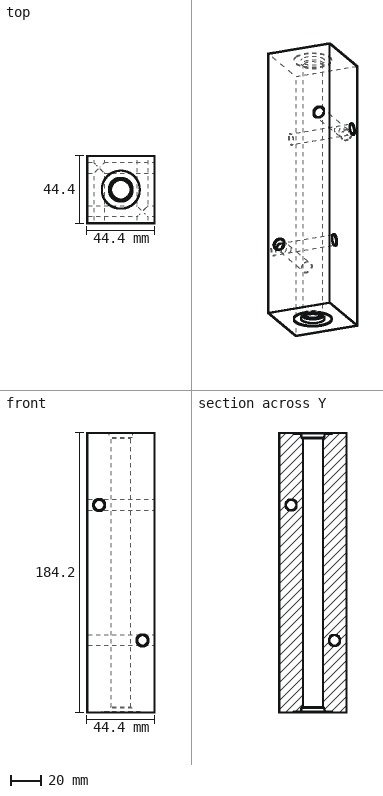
import cadquery as cq
import math

length = 184.2
side = 44.4

bore_diameter = 12.9
spotface_diameter = 25.0
spotface_depth = 0.5
seat_diameter = 15.7
seat_depth = 2.4
seat_angle = 12.0
seat_bottom_diameter = seat_diameter - 2 * seat_depth * math.tan(math.radians(seat_angle))

hole_diameter = 7.0
hole_mouth_diameter = 8.0
hole_edge_distance = 8.0
hole_end_distance = 47.5
hole_offset = side / 2 - hole_edge_distance
hole_height = length / 2 - hole_end_distance


def main_bore():
    """Cutter for the bore with the same port at both ends."""
    end = length / 2
    seat_top = end - spotface_depth
    seat_bottom = seat_top - seat_depth
    lead_in_depth = (seat_bottom_diameter - bore_diameter) / 2
    upper_half = (
        cq.Workplane("XZ")
        .lineTo(bore_diameter / 2, 0)
        .lineTo(bore_diameter / 2, seat_bottom - lead_in_depth)
        .lineTo(seat_bottom_diameter / 2, seat_bottom)
        .lineTo(seat_diameter / 2, seat_top)
        .lineTo(spotface_diameter / 2, seat_top)
        .lineTo(spotface_diameter / 2, end)
        .lineTo(0, end)
        .close()
        .revolve(360, (0, 0), (0, 1))
    )
    return upper_half.union(upper_half.mirror("XY"))


def cross_hole():
    """Cutter along Z, as long as the block is wide, with 45 degree chamfers at both mouths."""
    mouth = side / 2
    chamfer = (hole_mouth_diameter - hole_diameter) / 2
    return (
        cq.Workplane("XZ")
        .moveTo(0, -mouth)
        .lineTo(hole_mouth_diameter / 2, -mouth)
        .lineTo(hole_diameter / 2, chamfer - mouth)
        .lineTo(hole_diameter / 2, mouth - chamfer)
        .lineTo(hole_mouth_diameter / 2, mouth)
        .lineTo(0, mouth)
        .close()
        .revolve(360, (0, 0), (0, 1))
    )


hole_along_y = cross_hole().rotate((0, 0, 0), (1, 0, 0), 90)
hole_along_x = cross_hole().rotate((0, 0, 0), (0, 1, 0), 90)

result = cq.Workplane("XY").box(side, side, length).cut(main_bore())

for level in (1, -1):
    height = level * hole_height
    result = result.cut(hole_along_y.translate((-level * hole_offset, 0, height)))
    result = result.cut(hole_along_x.translate((0, level * hole_offset, height)))